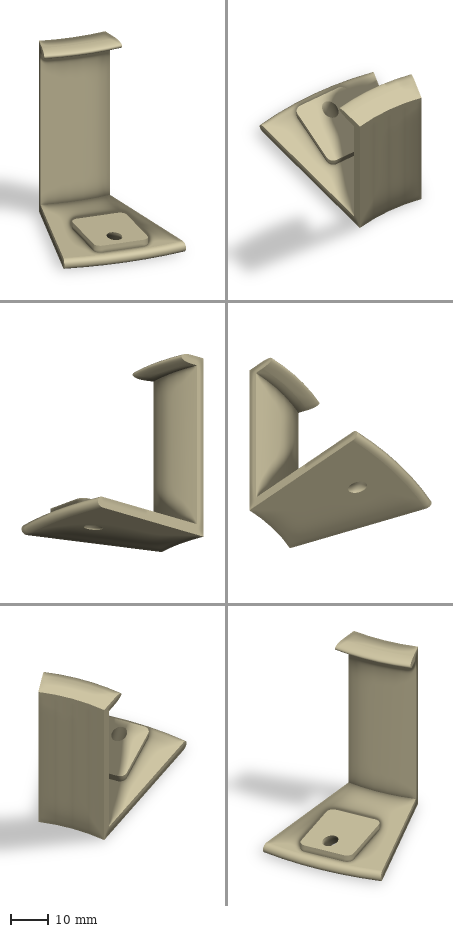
import cadquery as cq
import math

inner_radius = 50.0
radial_depth = 41.85
sweep_angle = 22.0
height = 50.0

wall_thickness = 2.5
floor_thickness = 3.0
lip_thickness = 2.5
lip_depth = 8.75
lip_nose = 3.65
floor_nose = 1.75

pad_radius = 78.5
pad_length = 20.1
pad_width = 15.6
pad_height = 2.0
pad_corner_radius = 2.0

hole_diameter = 4.0
hole_radius = 83.45
hole_offset = -0.6
hole_tilt = 45.0

pad_top = floor_thickness + pad_height


def swept_bracket():
    """C-shaped section, with elliptical ends on floor and lip, swept about the Z axis."""
    wall_inside = inner_radius + wall_thickness
    return (
        cq.Workplane("XZ")
        .moveTo(inner_radius, 0)
        .lineTo(inner_radius + radial_depth - floor_nose, 0)
        .ellipseArc(floor_nose, floor_thickness / 2, -90, 90)
        .lineTo(wall_inside, floor_thickness)
        .lineTo(wall_inside, height - lip_thickness)
        .lineTo(inner_radius + lip_depth - lip_nose, height - lip_thickness)
        .ellipseArc(lip_nose, lip_thickness / 2, -90, 90)
        .lineTo(inner_radius, height)
        .close()
        .revolve(sweep_angle, (0, 0, 0), (0, -1, 0))
    )


def to_sector_middle(shape):
    """Turn a shape built along +X onto the centreline of the sector."""
    return shape.rotate((0, 0, 0), (0, 0, 1), -sweep_angle / 2)


def floor_pad():
    pad = (
        cq.Workplane("XY")
        .center(pad_radius, 0)
        .rect(pad_length, pad_width)
        .extrude(pad_top)
        .edges("|Z")
        .fillet(pad_corner_radius)
    )
    return to_sector_middle(pad)


def slanted_hole():
    """Cylinder through the hole mouth, leaning towards the wall as it goes down."""
    tilt = math.radians(hole_tilt)
    axis = cq.Vector(math.sin(tilt), 0, math.cos(tilt))
    mouth = cq.Vector(hole_radius, hole_offset, pad_top)
    overrun = hole_diameter
    reach = pad_top / math.cos(tilt) + overrun
    cutter = cq.Solid.makeCylinder(
        hole_diameter / 2, reach + overrun, mouth - axis * reach, axis
    )
    return to_sector_middle(cq.Workplane(cutter))


result = swept_bracket().union(floor_pad()).cut(slanted_hole())